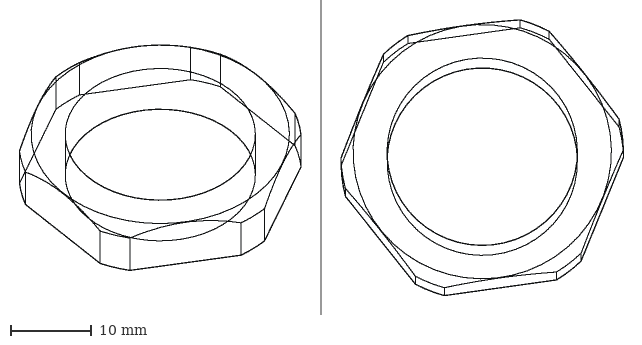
import cadquery as cq
import math

outer_diameter = 34.95
across_flats = 32.0
thickness = 7.0
bore_diameter = 23.5
chamfer_height = 1.45
chamfer_width = 1.5

across_corners = across_flats / math.cos(math.pi / 6)
hexagon = cq.Workplane("XY").polygon(6, across_corners).extrude(thickness)

blank = (
    cq.Workplane("XY")
    .circle(outer_diameter / 2)
    .extrude(thickness)
    .faces(">Z")
    .chamfer(chamfer_height, chamfer_width)
)

bore = cq.Workplane("XY").circle(bore_diameter / 2).extrude(thickness)
result = hexagon.intersect(blank).cut(bore)